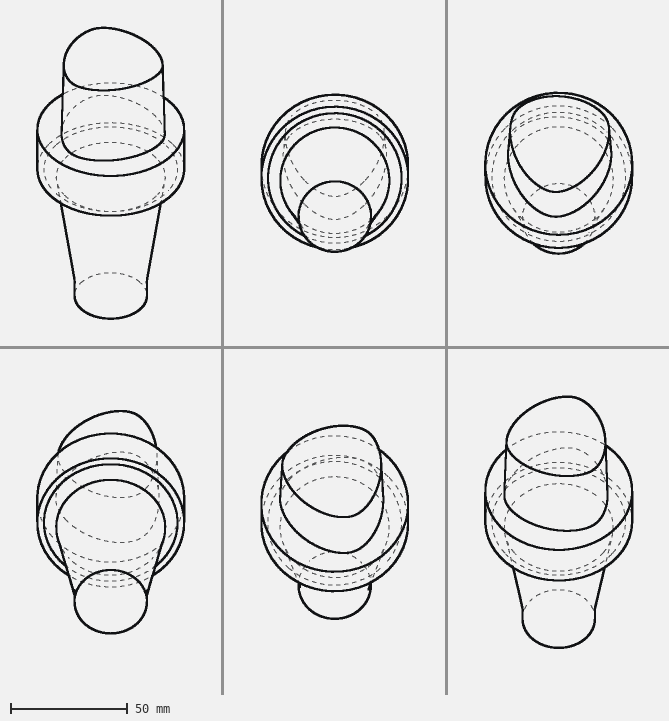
import cadquery as cq
import math

total_height = 130.0
pilot_top = 9.4
cone_top = 65.6
flange_bottom = 70.0
flange_top = 91.9

pilot_diameter = 31.1
cone_top_diameter = 46.7
flare_top_diameter = 57.2
flange_diameter = 62.9

shank_base_diameter = 44.2
shank_top_diameter = 42.4
lobe_eccentricity = 1.4


def round_body():
    """Pilot, cone, flare and flange, revolved about Z."""
    profile = [
        (0, 0),
        (pilot_diameter / 2, 0),
        (pilot_diameter / 2, pilot_top),
        (cone_top_diameter / 2, cone_top),
        (flare_top_diameter / 2, flange_bottom),
        (flange_diameter / 2, flange_bottom),
        (flange_diameter / 2, flange_top),
        (0, flange_top),
    ]
    return cq.Workplane("XZ").polyline(profile).close().revolve(360, (0, 0), (0, 1))


def lobed_point(angle, diameter):
    """Point of a constant-width three-lobed curve with one lobe toward -Y."""
    radius = diameter / 2
    ecc = lobe_eccentricity
    across = radius * math.sin(angle) + 2 * ecc * math.sin(2 * angle) + ecc * math.sin(4 * angle)
    along = radius * math.cos(angle) - 2 * ecc * math.cos(2 * angle) + ecc * math.cos(4 * angle)
    return across, along


def lobed_shank():
    """Shank lofted between its larger base and smaller top outline."""
    curve_points = 48
    angles = [math.pi + 2 * math.pi * i / curve_points for i in range(curve_points)]
    base = [lobed_point(a, shank_base_diameter) for a in angles]
    top = [lobed_point(a, shank_top_diameter) for a in angles]
    return (
        cq.Workplane("XY")
        .workplane(offset=flange_top)
        .spline(base, periodic=True)
        .close()
        .workplane(offset=total_height - flange_top)
        .spline(top, periodic=True)
        .close()
        .loft(ruled=True)
    )


result = round_body().union(lobed_shank())